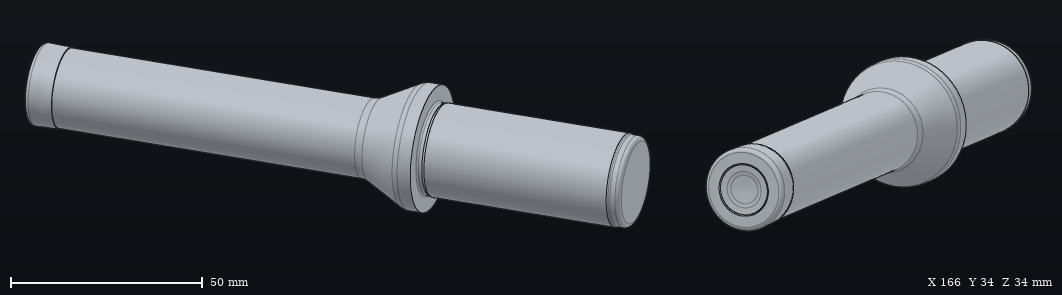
import cadquery as cq
import math

LENGTH = 166.0
TIP_LENGTH = 7.6
FLARE_START = 93.0
FLARE_END = 105.0
FLANGE_BACK = 109.5

TIP_RADIUS = 11.1
TIP_BACK_RADIUS = 11.0
SHAFT_RADIUS = 21.4 / 2
FLANGE_RADIUS = 34.0 / 2
SHANK_RADIUS = 25.0 / 2
RELIEF_RADIUS = 24.5 / 2

TIP_EDGE_ROUND = 1.2

DISH_MOUTH_RADIUS = 7.0
DISH_FLOOR_RADIUS = 6.6
DISH_STEP = 0.2
POCKET_MOUTH_RADIUS = 4.8
POCKET_FLOOR_RADIUS = 3.8
DISH_SLOPE = 5.0
POCKET_STEP = 0.2

FLARE_FOOT_ROUND = 5.0
FLARE_RIM_ROUND = 3.3

NECK_LENGTH = 1.5
TAIL_LENGTH = 3.0
SHOULDER_LENGTH = 0.7
NECK_CORNER_ROUND = 0.5
TAIL_CORNER_ROUND = 1.3
TAIL_EDGE_ROUND = 1.3


def round_corner(profile, corner, before, after, radius):
    """Run the profile up to a corner and round it; before and after are its neighbouring points."""
    incoming = (cq.Vector(*corner) - cq.Vector(*before)).normalized()
    outgoing = (cq.Vector(*after) - cq.Vector(*corner)).normalized()
    half_turn = incoming.getAngle(outgoing) / 2
    setback = radius * math.tan(half_turn)
    start = cq.Vector(*corner) - incoming * setback
    end = cq.Vector(*corner) + outgoing * setback
    toward_center = (outgoing - incoming).normalized()
    middle = cq.Vector(*corner) + toward_center * (radius / math.cos(half_turn) - radius)
    return profile.lineTo(start.x, start.y).threePointArc((middle.x, middle.y), (end.x, end.y))


def revolve_about_x(profile):
    return profile.close().revolve(360, (0, 0, 0), (1, 0, 0))


def make_tip():
    slope = math.tan(math.radians(DISH_SLOPE))
    pocket_mouth_depth = DISH_STEP + (DISH_FLOOR_RADIUS - POCKET_MOUTH_RADIUS) * slope
    pocket_floor_depth = pocket_mouth_depth + POCKET_STEP
    apex_depth = pocket_floor_depth + POCKET_FLOOR_RADIUS * slope

    profile = (
        cq.Workplane("XY")
        .moveTo(apex_depth, 0)
        .lineTo(pocket_floor_depth, POCKET_FLOOR_RADIUS)
        .lineTo(pocket_mouth_depth, POCKET_MOUTH_RADIUS)
        .lineTo(DISH_STEP, DISH_FLOOR_RADIUS)
        .lineTo(0, DISH_MOUTH_RADIUS)
    )
    front_edge = (0, TIP_RADIUS)
    back_edge = (TIP_LENGTH, TIP_BACK_RADIUS)
    profile = round_corner(profile, front_edge, (0, DISH_MOUTH_RADIUS), back_edge, TIP_EDGE_ROUND)
    profile = profile.lineTo(*back_edge).lineTo(TIP_LENGTH, 0)
    return revolve_about_x(profile)


def make_holder():
    shaft_front = (TIP_LENGTH, SHAFT_RADIUS)
    flare_foot = (FLARE_START, SHAFT_RADIUS)
    flare_rim = (FLARE_END, FLANGE_RADIUS)
    flange_back = (FLANGE_BACK, FLANGE_RADIUS)
    neck_end = FLANGE_BACK + NECK_LENGTH
    tail_start = LENGTH - TAIL_LENGTH
    neck_corner = (FLANGE_BACK, RELIEF_RADIUS)
    neck_back = (neck_end, RELIEF_RADIUS)
    shank_back = (tail_start - SHOULDER_LENGTH, SHANK_RADIUS)
    tail_front = (tail_start, RELIEF_RADIUS)
    tail_edge = (LENGTH, RELIEF_RADIUS)

    profile = cq.Workplane("XY").moveTo(TIP_LENGTH, 0).lineTo(*shaft_front)
    profile = round_corner(profile, flare_foot, shaft_front, flare_rim, FLARE_FOOT_ROUND)
    profile = round_corner(profile, flare_rim, flare_foot, flange_back, FLARE_RIM_ROUND)
    profile = profile.lineTo(*flange_back)
    profile = round_corner(profile, neck_corner, flange_back, neck_back, NECK_CORNER_ROUND)
    profile = profile.lineTo(*neck_back).lineTo(neck_end + SHOULDER_LENGTH, SHANK_RADIUS).lineTo(*shank_back)
    profile = round_corner(profile, tail_front, shank_back, tail_edge, TAIL_CORNER_ROUND)
    profile = round_corner(profile, tail_edge, tail_front, (LENGTH, 0), TAIL_EDGE_ROUND)
    return revolve_about_x(profile.lineTo(LENGTH, 0))


tip = make_tip()
holder = make_holder()
result = cq.Compound.makeCompound([tip.val(), holder.val()])